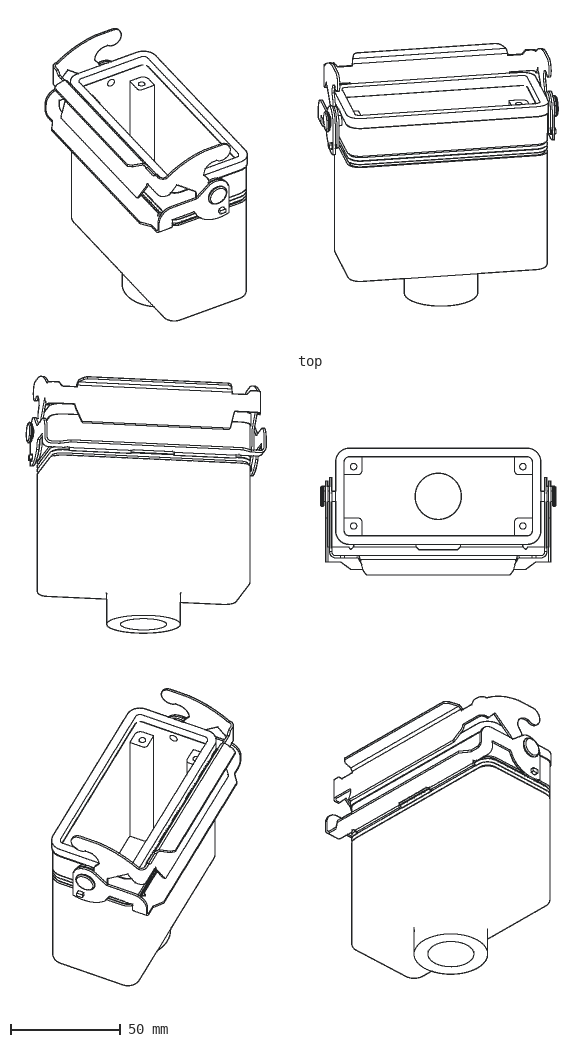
import cadquery as cq
import math

BODY_X, BODY_Y = 92.9, 43.2
BODY_CORNER = 5.9
BODY_BOTTOM = 16.2
HOUSING_TOP = 96.7
RIM_HEIGHT = 5.0
RIM_STEP = 0.5
BOTTOM_FILLET = 1.7

MOUTH_X, MOUTH_Y = 85.9, 35.9
MOUTH_CORNER = 2.1
MOUTH_UNDERCUT = 0.2
CHAMBER_CORNER = 3.0
FLOOR_THICKNESS = 3.6

SPOUT_RADIUS = 16.8
SPOUT_BORE_RADIUS = 10.5
SPOUT_FLARE = 1.9

POST_SIZE = 8.0
POST_CORNER = 1.6
POST_TOP = 84.8
SCREW_X, SCREW_Y = 38.6, 13.6
SCREW_HOLE_RADIUS = 1.5
SCREW_HOLE_DEPTH = 13.6
DRILL_ANGLE = 118

GROOVE_BOTTOM, GROOVE_TOP = 72.5, 78.1
GROOVE_DEPTH = 1.0
RIB_HEIGHT = 1.5
RIB_EDGE_RADIUS = 0.7
RIB_HEIGHTS = (74.5, 76.3)

SHEET = 1.0
BEND_RADIUS = 2.8
BEND_INNER = BEND_RADIUS - SHEET

PIVOT_Z = 87.8
PIN_RADIUS = 2.4
PIN_END_RADIUS = 1.8
RIVET_HEAD_RADIUS = 4.7
RIVET_HEAD_THICKNESS = 1.6
RIVET_HEAD_CHAMFER = 0.6
RIVET_END = 53.73

HOOK_OUTER_X = 49.6
HOOK_FRONT_Y = -28.1
HOOK_BACK_Y = 6.7
HOOK_TOP = 113.0
HOOK_TIP_RADIUS = 4.6
HOOK_LOBE_RADIUS = 10.4
CROSS_TOP, CROSS_BOTTOM = 105.2, 95.1

HANDLE_OUTER_X = 51.4
HANDLE_BACK_Y = 7.0
HANDLE_BOTTOM = 75.7
HANDLE_ARM_TOP = 88.7
HANDLE_ARM_BOTTOM = 81.7
HANDLE_KNEE_BACK_Y = -23.0
HANDLE_KNEE_FRONT_Y = -30.1
HANDLE_KNEE_RADIUS = 6.5
LIP_INNER_X, LIP_OUTER_X = 10.1, 38.6
GRIP_FRONT_Y = -33.5

STOP_Y, STOP_Z = 3.0, 76.8
STOP_RADIUS = 1.64
STOP_FLAT_HEIGHT = 1.9
STOP_END = 52.7


def box_between(x0, x1, y0, y1, z0, z1):
    box = cq.Workplane("XY").box(x1 - x0, y1 - y0, z1 - z0, centered=False)
    return box.translate((x0, y0, z0))


def rounded_block(size_x, size_y, corner, z0, z1):
    block = cq.Workplane("XY", origin=(0, 0, z0)).rect(size_x, size_y).extrude(z1 - z0)
    return block.edges("|Z").fillet(corner)


def rod(radius, y, z, x0, x1):
    """Cylinder along X between x0 and x1."""
    return cq.Workplane("YZ", origin=(x0, 0, 0)).center(y, z).circle(radius).extrude(x1 - x0)


def both_sides(solid):
    return solid.union(solid.mirror("YZ"))


def across(profile, half_width):
    """Extrude a YZ profile equally to both sides of the middle plane."""
    return profile.extrude(half_width, both=True)


def outer_shell():
    body = rounded_block(BODY_X, BODY_Y, BODY_CORNER, BODY_BOTTOM, HOUSING_TOP)
    body = body.faces("<Z").edges().fillet(BOTTOM_FILLET)
    rim = rounded_block(
        BODY_X + 2 * RIM_STEP,
        BODY_Y + 2 * RIM_STEP,
        BODY_CORNER + RIM_STEP,
        HOUSING_TOP - RIM_HEIGHT,
        HOUSING_TOP,
    )
    return body.union(rim)


def groove_cutter():
    """Band around the box with two round-edged ribs left standing in it."""
    inner_x = BODY_X - 2 * GROOVE_DEPTH
    inner_y = BODY_Y - 2 * GROOVE_DEPTH
    inner_corner = BODY_CORNER - GROOVE_DEPTH
    margin = 1.1
    band = rounded_block(
        BODY_X + 2 * margin, BODY_Y + 2 * margin, BODY_CORNER + margin, GROOVE_BOTTOM, GROOVE_TOP
    )
    band = band.cut(rounded_block(inner_x, inner_y, inner_corner, GROOVE_BOTTOM, GROOVE_TOP))
    for middle in RIB_HEIGHTS:
        bottom = middle - RIB_HEIGHT / 2
        rib = rounded_block(BODY_X, BODY_Y, BODY_CORNER, bottom, bottom + RIB_HEIGHT)
        band = band.cut(rib.faces("<Z or >Z").edges().fillet(RIB_EDGE_RADIUS))
    return band


def cavity():
    floor = BODY_BOTTOM + FLOOR_THICKNESS
    undercut_top = HOUSING_TOP - RIM_HEIGHT
    mouth = rounded_block(MOUTH_X, MOUTH_Y, MOUTH_CORNER, floor, HOUSING_TOP)
    chamber = rounded_block(
        MOUTH_X + 2 * MOUTH_UNDERCUT,
        MOUTH_Y + 2 * MOUTH_UNDERCUT,
        CHAMBER_CORNER,
        floor,
        undercut_top,
    )
    return mouth.union(chamber)


def screw_hole():
    """Blind drilled hole with a conical bottom."""
    hole_bottom = POST_TOP - SCREW_HOLE_DEPTH
    cone_tip = hole_bottom - SCREW_HOLE_RADIUS / math.tan(math.radians(DRILL_ANGLE / 2))
    half_section = [
        (0, cone_tip),
        (SCREW_HOLE_RADIUS, hole_bottom),
        (SCREW_HOLE_RADIUS, POST_TOP),
        (0, POST_TOP),
    ]
    drill = cq.Workplane("XZ").polyline(half_section).close().revolve(360, (0, 0, 0), (0, 1, 0))
    return drill.translate((SCREW_X, SCREW_Y, 0))


def post(side_x, side_y):
    """Screw post in one corner of the cavity; the sides are +1 or -1."""
    floor = BODY_BOTTOM + FLOOR_THICKNESS
    reach = POST_SIZE + MOUTH_UNDERCUT + 1.1
    x0 = MOUTH_X / 2 - POST_SIZE
    y0 = MOUTH_Y / 2 - POST_SIZE
    column = box_between(x0, x0 + reach, y0, y0 + reach, floor - 1.1, POST_TOP)
    column = column.edges("|Z and <X and <Y").fillet(POST_CORNER)
    column = column.cut(screw_hole())
    if side_x < 0:
        column = column.mirror("YZ")
    if side_y < 0:
        column = column.mirror("XZ")
    return column


def spout():
    """Round cable outlet below the box, flared where it joins the underside."""
    profile = (
        cq.Workplane("XZ")
        .lineTo(SPOUT_RADIUS, 0)
        .lineTo(SPOUT_RADIUS, BODY_BOTTOM - SPOUT_FLARE)
        .radiusArc((SPOUT_RADIUS + SPOUT_FLARE, BODY_BOTTOM), SPOUT_FLARE)
        .lineTo(0, BODY_BOTTOM)
        .close()
    )
    return profile.revolve(360, (0, 0, 0), (0, 1, 0))


def make_housing():
    housing = outer_shell().cut(groove_cutter())
    hollow = cavity()
    for side_x in (-1, 1):
        for side_y in (-1, 1):
            hollow = hollow.cut(post(side_x, side_y))
    housing = housing.cut(hollow).union(spout())
    bore = cq.Workplane("XY").circle(SPOUT_BORE_RADIUS).extrude(BODY_BOTTOM + FLOOR_THICKNESS)
    pin_holes = both_sides(rod(PIN_END_RADIUS, 0, PIVOT_Z, MOUTH_X / 2, BODY_X / 2))
    return housing.cut(bore).cut(pin_holes)


def hook_outline():
    """Side outline of the hook plates, in Y and Z."""
    tip_y = HOOK_BACK_Y + 2.0 - HOOK_TIP_RADIUS
    tip_z = HOOK_TOP - HOOK_TIP_RADIUS
    lobe_y, lobe_z = 1.1, 86.0
    lobe_back_z = lobe_z - math.sqrt(HOOK_LOBE_RADIUS**2 - (HOOK_BACK_Y - lobe_y) ** 2)
    shoulder_y = -2.8
    shoulder_z = PIVOT_Z + math.sqrt(HOOK_BACK_Y**2 - shoulder_y**2)
    diagonal = HOOK_BACK_Y * math.sqrt(0.5)
    return (
        cq.Workplane("YZ")
        .moveTo(tip_y, HOOK_TOP)
        .lineTo(-4.7, HOOK_TOP)
        .threePointArc((-15.7, 110.3), (-25.1, CROSS_TOP))
        .lineTo(HOOK_FRONT_Y, CROSS_TOP)
        .lineTo(HOOK_FRONT_Y, CROSS_BOTTOM)
        .lineTo(-23.5, CROSS_BOTTOM)
        .lineTo(-19.7, 99.3)
        .lineTo(-10.2, 91.8)
        .threePointArc((-9.5, 91.1), (lobe_y - HOOK_LOBE_RADIUS, 90.2))
        .lineTo(lobe_y - HOOK_LOBE_RADIUS, lobe_z)
        .threePointArc((lobe_y, lobe_z - HOOK_LOBE_RADIUS), (HOOK_BACK_Y, lobe_back_z))
        .lineTo(HOOK_BACK_Y, PIVOT_Z)
        .threePointArc((diagonal, PIVOT_Z + diagonal), (shoulder_y, shoulder_z))
        .threePointArc((-2.7, 95.4), (-3.6, 97.0))
        .lineTo(-5.3, 99.3)
        .threePointArc((-4.0, 103.3), (-0.7, 105.1))
        .lineTo(1.6, 105.1)
        .lineTo(2.6, 104.4)
        .threePointArc((tip_y + HOOK_TIP_RADIUS, tip_z), (tip_y, HOOK_TOP))
        .close()
    )


def hook_frame():
    """Two plates joined by the cross strip: a sheet bent to a U, cut to the side outline."""
    length = 67.8
    outer = box_between(-HOOK_OUTER_X, HOOK_OUTER_X, HOOK_FRONT_Y, HOOK_FRONT_Y + length, 0, HOOK_TOP)
    inner_x = HOOK_OUTER_X - SHEET
    inner = box_between(-inner_x, inner_x, HOOK_FRONT_Y + SHEET, HOOK_FRONT_Y + length, 0, HOOK_TOP)
    outer = outer.edges("|Z and <Y").fillet(BEND_RADIUS)
    inner = inner.edges("|Z and <Y").fillet(BEND_INNER)
    frame = outer.cut(inner).intersect(across(hook_outline(), HOOK_OUTER_X))
    lowered = [(-44.5, CROSS_TOP), (-42.8, 103.3), (42.8, 103.3), (44.5, CROSS_TOP)]
    notch = cq.Workplane("XZ").polyline(lowered).close().extrude(-2 * HOOK_FRONT_Y, both=True)
    strip_zone = box_between(-45.2, 45.2, HOOK_FRONT_Y, HOOK_FRONT_Y + SHEET, CROSS_BOTTOM, CROSS_TOP)
    return frame.cut(notch.intersect(strip_zone))


def bent_sheet(face):
    """Side profile of a bent sheet: one face as (y, z) points, the other offset to its left."""
    headings = [math.atan2(z1 - z0, y1 - y0) for (y0, z0), (y1, z1) in zip(face, face[1:])]
    before = [headings[0]] + headings
    after = headings + [headings[-1]]
    other_face = []
    for (y, z), heading_in, heading_out in zip(face, before, after):
        normal = (heading_in + heading_out + math.pi) / 2
        reach = SHEET / math.cos((heading_out - heading_in) / 2)
        other_face.append((y + reach * math.cos(normal), z + reach * math.sin(normal)))
    return cq.Workplane("YZ").polyline(face + other_face[::-1]).close()


def mirrored_outline(half):
    """Closed list of points from its +X half."""
    return half + [(-x, other) for x, other in reversed(half)]


def hook_thumb_tab():
    """Tab bent outward from the top edge of the cross strip."""
    top, tip_y = 106.2, -35.9
    bevel_y, bevel_z = -28.9, 104.4
    back_y = HOOK_FRONT_Y + SHEET
    root_z = CROSS_TOP - 2.4
    profile = bent_sheet([(back_y, root_z), (back_y, bevel_z), (bevel_y, top), (tip_y, top)])
    outline = mirrored_outline([(36.2, back_y), (34.2, -34.1), (32.8, tip_y)])
    plan = cq.Workplane("XY").polyline(outline).close().extrude(HOOK_TOP)
    return across(profile, HOOK_OUTER_X).intersect(plan)


def hook_apron():
    """Flap below the cross strip, leaning outward at its lower part."""
    bend_top_z, bend_low_z, end_z = 93.7, 92.9, 86.1
    lean = math.radians(27)
    bend_y = HOOK_FRONT_Y - (bend_top_z - bend_low_z) * math.tan(lean / 2)
    end_y = bend_y - (bend_low_z - end_z) * math.tan(lean)
    profile = bent_sheet([
        (HOOK_FRONT_Y, CROSS_BOTTOM),
        (HOOK_FRONT_Y, bend_top_z),
        (bend_y, bend_low_z),
        (end_y, end_z),
    ])
    outline = mirrored_outline([(37.2, CROSS_BOTTOM), (34.6, 86.5), (33.9, 85.5)])
    front = cq.Workplane("XZ").polyline(outline).close().extrude(-2 * HOOK_FRONT_Y)
    return across(profile, HOOK_OUTER_X).intersect(front)


def handle_outline():
    """Side outline of the handle plates, in Y and Z."""
    knee_z = HANDLE_ARM_TOP - HANDLE_KNEE_RADIUS
    knee_y = HANDLE_KNEE_FRONT_Y + HANDLE_KNEE_RADIUS
    shoulder_y = -3.3
    shoulder_z = PIVOT_Z + math.sqrt(HANDLE_BACK_Y**2 - shoulder_y**2)
    return (
        cq.Workplane("YZ")
        .moveTo(HANDLE_BACK_Y, PIVOT_Z)
        .threePointArc((0, PIVOT_Z + HANDLE_BACK_Y), (shoulder_y, shoulder_z))
        .lineTo(-10.0, HANDLE_ARM_TOP)
        .lineTo(knee_y, HANDLE_ARM_TOP)
        .radiusArc((HANDLE_KNEE_FRONT_Y, knee_z), -HANDLE_KNEE_RADIUS)
        .lineTo(HANDLE_KNEE_FRONT_Y, HANDLE_BOTTOM)
        .lineTo(HANDLE_KNEE_BACK_Y, HANDLE_BOTTOM)
        .lineTo(HANDLE_KNEE_BACK_Y, HANDLE_ARM_BOTTOM)
        .lineTo(-11.5, HANDLE_ARM_BOTTOM)
        .lineTo(-9.3, 77.6)
        .threePointArc((0, 73.1), (HANDLE_BACK_Y, 74.0))
        .close()
    )


def handle_plates():
    """Flat side plates whose front ends bend inward to meet the strip."""
    plates = across(handle_outline(), HANDLE_OUTER_X)
    inner_x = HANDLE_OUTER_X - SHEET
    front_y = HANDLE_KNEE_FRONT_Y
    plates = plates.cut(box_between(-inner_x, inner_x, -45.2, 45.2, 0, HOOK_TOP))
    flat_part = plates.cut(box_between(-56.5, 56.5, front_y, HANDLE_KNEE_BACK_Y, 0, HANDLE_ARM_BOTTOM))
    outer = box_between(
        -HANDLE_OUTER_X, HANDLE_OUTER_X, front_y, HANDLE_KNEE_BACK_Y, HANDLE_BOTTOM, HOOK_TOP
    )
    inner = box_between(-inner_x, inner_x, front_y, HANDLE_KNEE_BACK_Y, HANDLE_BOTTOM + SHEET, HOOK_TOP)
    bent = outer.edges("|Y and <Z").fillet(BEND_RADIUS).cut(inner.edges("|Y and <Z").fillet(BEND_INNER))
    return flat_part.union(bent.intersect(across(handle_outline(), HANDLE_OUTER_X)))


def handle_grip():
    """Part of the strip that reaches in front of the bends."""
    outline = mirrored_outline([
        (48.6, HANDLE_KNEE_FRONT_Y + 1.1),
        (48.6, HANDLE_KNEE_FRONT_Y),
        (44.5, HANDLE_KNEE_FRONT_Y),
        (39.9, GRIP_FRONT_Y),
    ])
    return cq.Workplane("XY", origin=(0, 0, HANDLE_BOTTOM)).polyline(outline).close().extrude(SHEET)


def handle_back_notches():
    back_y, notch_y = HANDLE_KNEE_BACK_Y, -24.3
    middle = mirrored_outline([(LIP_INNER_X, back_y), (LIP_INNER_X - 1.1, notch_y)])
    cutter = cq.Workplane("XY").polyline(middle).close().extrude(HOOK_TOP)
    relief = cq.Workplane("XY").polyline([(LIP_OUTER_X, back_y), (39.9, notch_y), (41.0, back_y)]).close()
    return cutter.union(both_sides(relief.extrude(HOOK_TOP)))


def handle_lips():
    """Lips on the back edge of the strip, turned down toward the housing groove."""
    strip_top = HANDLE_BOTTOM + SHEET
    back_y = HANDLE_KNEE_BACK_Y
    profile = [(back_y, strip_top), (-21.9, 75.5), (-21.8, 74.6), (back_y, 74.4)]
    lip = cq.Workplane("YZ", origin=(LIP_INNER_X, 0, 0)).polyline(profile).close()
    return both_sides(lip.extrude(LIP_OUTER_X - LIP_INNER_X))


def rivet():
    """Pivot pin on the +X side, flush with the cavity wall, with its head outside."""
    pin_start = MOUTH_X / 2 + MOUTH_UNDERCUT
    head_start = RIVET_END - RIVET_HEAD_THICKNESS
    pin_end = rod(PIN_END_RADIUS, 0, PIVOT_Z, pin_start, BODY_X / 2)
    pin = rod(PIN_RADIUS, 0, PIVOT_Z, BODY_X / 2, head_start).union(pin_end)
    head = rod(RIVET_HEAD_RADIUS, 0, PIVOT_Z, head_start, RIVET_END)
    return pin.union(head.edges().chamfer(RIVET_HEAD_CHAMFER))


def stop_peg():
    """Stop on the hook plate: round in the handle plate, with two flats outside it."""
    hook_face = HOOK_OUTER_X - SHEET / 2
    peg = rod(STOP_RADIUS, STOP_Y, STOP_Z, hook_face, STOP_END)
    half = STOP_FLAT_HEIGHT / 2
    slab = box_between(hook_face, STOP_END, 0, 6.8, STOP_Z - half, STOP_Z + half)
    return peg.intersect(slab)


def stop_hole():
    return rod(STOP_RADIUS, STOP_Y, STOP_Z, HANDLE_OUTER_X - SHEET, HANDLE_OUTER_X)


def make_latch():
    hook = hook_frame().union(hook_thumb_tab()).union(hook_apron())
    handle = handle_plates().union(handle_grip()).cut(handle_back_notches()).union(handle_lips())
    handle = handle.cut(both_sides(stop_hole()))
    return hook.union(handle).union(both_sides(rivet())).union(both_sides(stop_peg()))


housing = make_housing()
latch = make_latch()
result = cq.Compound.makeCompound([housing.val(), latch.val()])